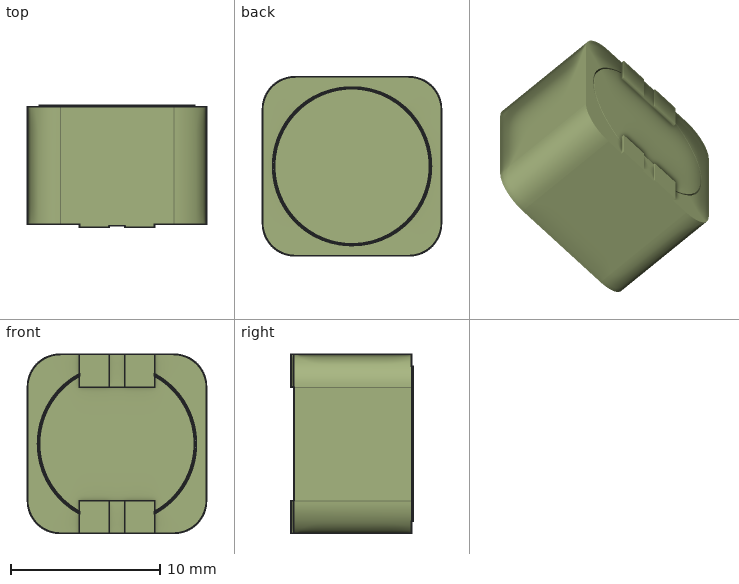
import cadquery as cq

side = 12.0
corner_radius = 2.2
shield_depth = 7.9

bore_diameter = 10.62
core_diameter = 10.4
core_rise = 0.1

pad_width = 1.99
pad_spacing = 1.05
bridge_thickness = 0.1
pad_thickness = 2 * bridge_thickness
terminal_height = 2.2
terminal_width = 2 * pad_width + pad_spacing


def make_shield():
    """Rounded square block with a round bore through it along Y."""
    block = cq.Workplane("XY").box(side, shield_depth, side, centered=(True, False, True))
    block = block.edges("|Y").fillet(corner_radius)
    return block.faces("<Y").workplane(origin=(0, 0, 0)).hole(bore_diameter)


def make_core():
    """Cylinder flush with the mounting face and proud of the back."""
    return cq.Workplane("XZ").circle(core_diameter / 2).extrude(-(shield_depth + core_rise))


def make_terminal(z_sign):
    """Plate with a shallow channel in the middle, at the upper (+1) or lower (-1) edge."""
    z_center = z_sign * (side - terminal_height) / 2
    face = cq.Workplane("XZ").center(0, z_center)
    plate = face.rect(terminal_width, terminal_height).extrude(pad_thickness)
    channel = (
        face.workplane(offset=bridge_thickness)
        .rect(pad_spacing, terminal_height)
        .extrude(pad_thickness - bridge_thickness)
    )
    return plate.cut(channel)


result = make_shield()
for z_sign in (1, -1):
    result = result.union(make_terminal(z_sign))
result = result.union(make_core())